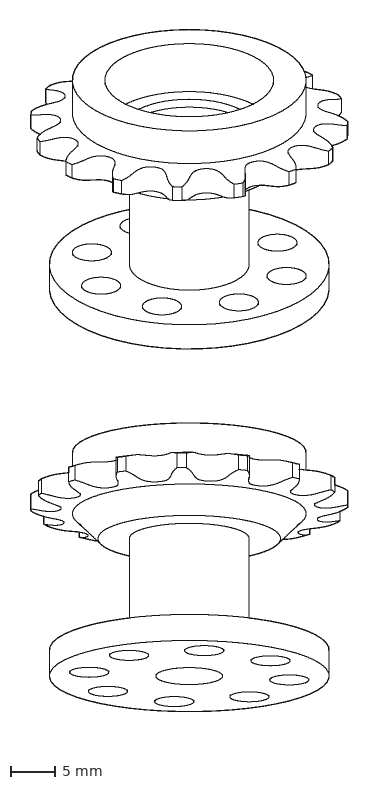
import cadquery as cq
import math

flange_diameter = 31.5
flange_thickness = 3.03
tube_diameter = 13.5
tube_top = 16.0
bore_diameter = 7.5
flange_hole_count = 8
flange_hole_diameter = 4.4
flange_hole_circle_radius = 11.38

overall_height = 26.0
hub_diameter = 26.3
cone_height = 2.9
cone_bottom_diameter = hub_diameter - 2 * cone_height
tooth_thickness = 3.03
tooth_bottom = tube_top + cone_height
tooth_top = tooth_bottom + tooth_thickness

seat_diameter = 19.0
seat_depth = 6.0
relief_diameter = 15.0
relief_depth = 1.0

tooth_count = 16
chain_pitch = 6.35
roller_diameter = 3.3
roller_clearance = 0.05
outer_radius = 17.85
rim_flat_radius = 14.65
tip_thickness = 1.7

half_tooth_angle = math.pi / tooth_count
pitch_radius = chain_pitch / 2 / math.sin(half_tooth_angle)


def polar(center, radius, angle):
    """Point at a distance and direction (radians) from a center."""
    return (center[0] + radius * math.cos(angle), center[1] + radius * math.sin(angle))


def mirrored(point):
    """Point reflected across the center line of a tooth gap."""
    return (-point[0], point[1])


def make_tooth_gap():
    """Standard (ANSI) roller chain tooth gap on the +Y axis, taller than the teeth."""
    seat_angle = math.radians(35 + 60 / tooth_count)
    flank_angle = math.radians(18 - 56 / tooth_count)
    line_angle = flank_angle - seat_angle

    seat_center = (0, pitch_radius)
    flank_center = polar(seat_center, 0.8 * roller_diameter, math.pi - seat_angle)
    top_center = polar(seat_center, 1.4 * roller_diameter, -half_tooth_angle)

    seat_radius = (roller_diameter + roller_clearance) / 2
    flank_radius = seat_radius + 0.8 * roller_diameter
    center_spacing = math.dist(flank_center, top_center)
    line_direction = math.atan2(top_center[1] - flank_center[1], top_center[0] - flank_center[0])
    top_radius = center_spacing * math.cos(line_direction - line_angle) - flank_radius

    top_overrun = 1.4 * roller_diameter - chain_pitch / 2
    apex_height = math.sqrt(top_radius**2 - top_overrun**2)
    apex_radius = pitch_radius * math.cos(half_tooth_angle) + apex_height
    apex = polar((0, 0), apex_radius, math.pi / 2 - half_tooth_angle)

    seat_bottom = (0, pitch_radius - seat_radius)
    seat_end = polar(seat_center, seat_radius, -seat_angle)
    flank_middle = polar(flank_center, flank_radius, -seat_angle + flank_angle / 2)
    flank_end = polar(flank_center, flank_radius, line_angle)
    top_start = polar(top_center, top_radius, math.pi + line_angle)
    apex_direction = math.atan2(apex[1] - top_center[1], apex[0] - top_center[0])
    top_middle = polar(top_center, top_radius, (math.pi + line_angle + apex_direction) / 2)

    return (
        cq.Workplane("XY")
        .workplane(offset=tooth_bottom)
        .moveTo(*mirrored(apex))
        .threePointArc(mirrored(top_middle), mirrored(top_start))
        .lineTo(*mirrored(flank_end))
        .threePointArc(mirrored(flank_middle), mirrored(seat_end))
        .threePointArc(seat_bottom, seat_end)
        .threePointArc(flank_middle, flank_end)
        .lineTo(*top_start)
        .threePointArc(top_middle, apex)
        .threePointArc((0, apex_radius), mirrored(apex))
        .close()
        .extrude(tooth_thickness)
    )


def make_toothed_disc():
    """Disc with a rim that curves in to a thinner edge, cut into teeth."""
    rim_drop = (tooth_thickness - tip_thickness) / 2
    rim_width = outer_radius - rim_flat_radius
    rim_curve_radius = (rim_width**2 + rim_drop**2) / (2 * rim_drop)
    rim_middle = rim_flat_radius + rim_width / 2
    middle_drop = rim_curve_radius - math.sqrt(rim_curve_radius**2 - (rim_width / 2) ** 2)

    disc = (
        cq.Workplane("XZ")
        .moveTo(0, tooth_bottom)
        .lineTo(rim_flat_radius, tooth_bottom)
        .threePointArc((rim_middle, tooth_bottom + middle_drop), (outer_radius, tooth_bottom + rim_drop))
        .lineTo(outer_radius, tooth_top - rim_drop)
        .threePointArc((rim_middle, tooth_top - middle_drop), (rim_flat_radius, tooth_top))
        .lineTo(0, tooth_top)
        .close()
        .revolve(360, (0, 0, 0), (0, 1, 0))
    )
    gap = make_tooth_gap()
    for index in range(tooth_count):
        disc = disc.cut(gap.rotate((0, 0, 0), (0, 0, 1), index * 360 / tooth_count))
    return disc


def make_cylinder(diameter, bottom, top):
    """Upright cylinder on the Z axis."""
    return cq.Workplane("XY").workplane(offset=bottom).circle(diameter / 2).extrude(top - bottom)


def make_sprocket():
    """Toothed disc with a cone below, a hub above and a stepped recess down to the bore."""
    cone = (
        cq.Workplane("XY")
        .workplane(offset=tube_top)
        .circle(cone_bottom_diameter / 2)
        .workplane(offset=cone_height)
        .circle(hub_diameter / 2)
        .loft()
    )
    hub = make_cylinder(hub_diameter, tooth_bottom, overall_height)
    seat_floor = overall_height - seat_depth
    relief_floor = seat_floor - relief_depth
    return (
        make_toothed_disc()
        .union(cone)
        .union(hub)
        .cut(make_cylinder(seat_diameter, seat_floor, overall_height))
        .cut(make_cylinder(relief_diameter, relief_floor, seat_floor))
        .cut(make_cylinder(bore_diameter, tube_top, relief_floor))
    )


def make_flanged_tube():
    """Tube on a round flange with a ring of through holes."""
    flange = make_cylinder(flange_diameter, 0, flange_thickness)
    tube = make_cylinder(tube_diameter, flange_thickness, tube_top)
    body = flange.union(tube).cut(make_cylinder(bore_diameter, 0, tube_top))
    holes = (
        cq.Workplane("XY")
        .polarArray(flange_hole_circle_radius, 0, 360, flange_hole_count)
        .circle(flange_hole_diameter / 2)
        .extrude(flange_thickness)
    )
    return body.cut(holes)


flanged_tube = make_flanged_tube()
sprocket = make_sprocket()

result = cq.Compound.makeCompound([*flanged_tube.solids().vals(), *sprocket.solids().vals()])